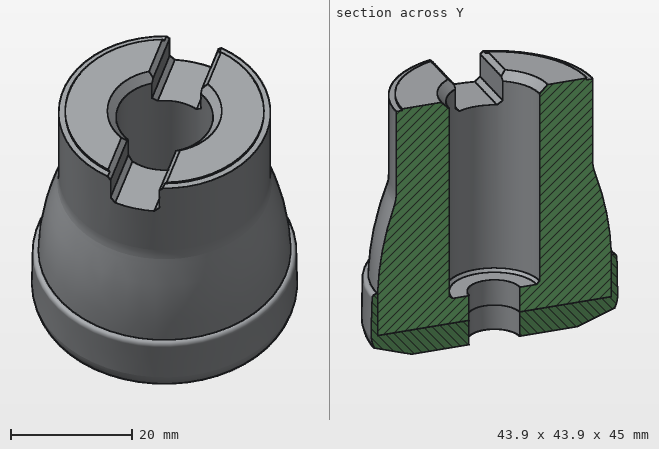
import cadquery as cq

total_height = 45.0
through_hole_diameter = 9.0

cap_foot_radius = 14.7
cap_lower_edge_radius = 21.38
cap_lower_edge_height = 2.25
cap_widest_radius = 21.95
cap_widest_height = 4.4
cap_lower_mid_radius = 21.8
cap_lower_mid_height = 3.25
cap_top_edge_radius = 21.82
cap_height = 12.15
cap_lip_fillet = 0.75
cap_floor_height = cap_widest_height

foot_radius = 41.7 / 2
neck_radius = 35.0 / 2
shoulder_mid_radius = 19.6
shoulder_mid_height = 21.6
shoulder_top_radius = 18.0
shoulder_top_height = 27.2
neck_fillet_end_radius = 17.75
neck_fillet_bottom = 28.1
neck_fillet_top = 29.95
top_step_width = 1.1
top_step_height = 0.3

bore_radius = 16.0 / 2
bore_floor_height = 9.0
bore_floor_bevel = 0.55
bore_mouth_bevel = 1.45

slot_width = 8.4
slot_depth = 5.8
slot_bevel = 0.85
slot_length = 3 * neck_radius


def make_cap():
    """Revolve the cup, with its recess and central hole."""
    hole_radius = through_hole_diameter / 2
    return (
        cq.Workplane("XZ")
        .moveTo(hole_radius, 0)
        .lineTo(cap_foot_radius, 0)
        .lineTo(cap_lower_edge_radius, cap_lower_edge_height)
        .threePointArc(
            (cap_lower_mid_radius, cap_lower_mid_height), (cap_widest_radius, cap_widest_height)
        )
        .lineTo(cap_top_edge_radius, cap_height - cap_lip_fillet)
        .radiusArc((cap_top_edge_radius - cap_lip_fillet, cap_height), -cap_lip_fillet)
        .lineTo(foot_radius, cap_height)
        .lineTo(foot_radius, cap_floor_height)
        .lineTo(hole_radius, cap_floor_height)
        .close()
        .revolve(360, (0, 0, 0), (0, 1, 0))
    )


def make_body_blank():
    """Revolve the solid body: straight foot, bulging shoulder, straight neck, raised top face."""
    return (
        cq.Workplane("XZ")
        .moveTo(0, total_height)
        .lineTo(neck_radius - top_step_width, total_height)
        .lineTo(neck_radius - top_step_width, total_height - top_step_height)
        .lineTo(neck_radius, total_height - top_step_height)
        .lineTo(neck_radius, neck_fillet_top)
        .tangentArcPoint((neck_fillet_end_radius, neck_fillet_bottom), relative=False)
        .lineTo(shoulder_top_radius, shoulder_top_height)
        .threePointArc((shoulder_mid_radius, shoulder_mid_height), (foot_radius, cap_height))
        .lineTo(foot_radius, cap_floor_height)
        .lineTo(0, cap_floor_height)
        .close()
        .revolve(360, (0, 0, 0), (0, 1, 0))
    )


def make_bore():
    """Cutter for the bore with bevelled mouth and floor, plus the through hole."""
    hole_radius = through_hole_diameter / 2
    return (
        cq.Workplane("XZ")
        .moveTo(0, cap_floor_height)
        .lineTo(hole_radius, cap_floor_height)
        .lineTo(hole_radius, bore_floor_height)
        .lineTo(bore_radius - bore_floor_bevel, bore_floor_height)
        .lineTo(bore_radius, bore_floor_height + bore_floor_bevel)
        .lineTo(bore_radius, total_height - bore_mouth_bevel)
        .lineTo(bore_radius + bore_mouth_bevel, total_height)
        .lineTo(0, total_height)
        .close()
        .revolve(360, (0, 0, 0), (0, 1, 0))
    )


def make_slot():
    """Cutter for the slot, bevelled at its floor corners and at its mouth."""
    half_width = slot_width / 2
    floor = total_height - slot_depth
    right_side = [
        (half_width - slot_bevel, floor),
        (half_width, floor + slot_bevel),
        (half_width, total_height - slot_bevel),
        (half_width + slot_bevel, total_height),
    ]
    left_side = [(-x, z) for x, z in reversed(right_side)]
    return (
        cq.Workplane("XZ")
        .polyline(right_side + left_side)
        .close()
        .extrude(slot_length / 2, both=True)
    )


cap = make_cap()
body = make_body_blank().cut(make_bore()).cut(make_slot())

result = cq.Compound.makeCompound([body.solids().val(), cap.val()])